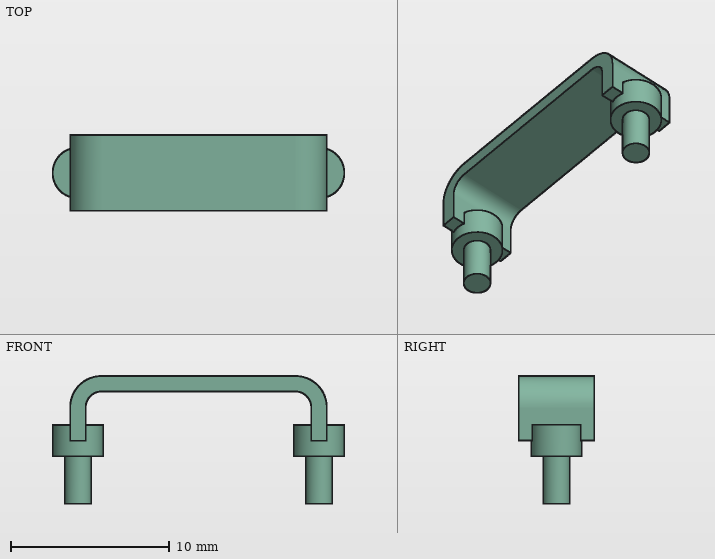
import cadquery as cq

overall_length = 18.44
overall_height = 8.1

pin_diameter = 1.7
pin_length = 3.0
collar_diameter = 3.2
collar_height = 2.0
pin_spacing = overall_length - collar_diameter

strap_width = 4.8
strap_thickness = 1.0
outer_bend_radius = 2.0
inner_bend_radius = outer_bend_radius - strap_thickness
leg_embedment = 1.0
strap_length = pin_spacing + strap_thickness
inner_span = strap_length - 2 * strap_thickness
collar_top = pin_length + collar_height
leg_bottom = collar_top - leg_embedment
strap_height = overall_height - leg_bottom


def strap_block(length, height, bend_radius):
    """Block standing on the leg ends, rounded along both upper bends."""
    block = cq.Workplane("XY").box(length, strap_width, height, centered=(True, True, False))
    return block.edges("|Y and >Z").fillet(bend_radius).translate((0, 0, leg_bottom))


def make_strap():
    outside = strap_block(strap_length, strap_height, outer_bend_radius)
    inside = strap_block(inner_span, strap_height - strap_thickness, inner_bend_radius)
    return outside.cut(inside)


def make_pin(x):
    """Upright pin with a wider collar on top of it."""
    pin = cq.Workplane("XY").center(x, 0).circle(pin_diameter / 2).extrude(pin_length)
    collar = (
        cq.Workplane("XY", origin=(x, 0, pin_length))
        .circle(collar_diameter / 2)
        .extrude(collar_height)
    )
    return pin.union(collar)


result = make_strap()
for side in (-1, 1):
    result = result.union(make_pin(side * pin_spacing / 2))